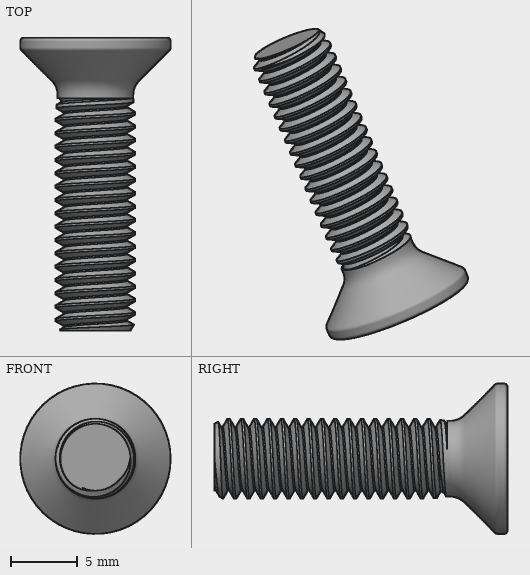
import cadquery as cq
import math


length = 22.0

head_radius = 5.65
head_edge_radius = 0.3
rim_bottom_depth = 0.75
cone_angle = math.radians(45)

neck_radius = 2.85
neck_fillet_radius = 1.5
neck_end_depth = 4.55

pitch = 1.0
major_radius = 3.0
core_radius = 2.39
flank_angle = math.radians(30)
crest_width = 0.17
crest_depth_at_plus_x = 4.68

runout_core_radius = 2.7
runout_core_end_depth = 5.1
runout_crest_end_depth = 5.7

tip_radius = 2.62
tip_chamfer_length = 0.65


def revolve_about_y(outline):
    """Close an outline drawn in the XY plane and turn it about the screw axis."""
    return outline.close().revolve(360, (0, 0, 0), (0, 1, 0))


def make_head():
    """Rounded rim, 45 degree cone and a fillet running into the neck."""
    sin_cone = math.sin(cone_angle)
    cos_cone = math.cos(cone_angle)
    sin_half = math.sin(cone_angle / 2)
    cos_half = math.cos(cone_angle / 2)
    quarter_middle = math.sin(math.radians(45))

    edge_center = head_radius - head_edge_radius
    cone_top_radius = edge_center + head_edge_radius * cos_cone
    cone_top_depth = rim_bottom_depth + head_edge_radius * sin_cone
    fillet_center = neck_radius + neck_fillet_radius
    cone_bottom_radius = fillet_center - neck_fillet_radius * cos_cone
    cone_bottom_depth = cone_top_depth + (cone_top_radius - cone_bottom_radius) / math.tan(cone_angle)
    fillet_end_depth = cone_bottom_depth + neck_fillet_radius * sin_cone

    outline = (
        cq.Workplane("XY")
        .lineTo(edge_center, 0)
        .threePointArc(
            (edge_center + head_edge_radius * quarter_middle, -head_edge_radius * (1 - quarter_middle)),
            (head_radius, -head_edge_radius),
        )
        .lineTo(head_radius, -rim_bottom_depth)
        .threePointArc(
            (edge_center + head_edge_radius * cos_half, -rim_bottom_depth - head_edge_radius * sin_half),
            (cone_top_radius, -cone_top_depth),
        )
        .lineTo(cone_bottom_radius, -cone_bottom_depth)
        .threePointArc(
            (
                fillet_center - neck_fillet_radius * cos_half,
                -fillet_end_depth + neck_fillet_radius * sin_half,
            ),
            (neck_radius, -fillet_end_depth),
        )
        .lineTo(neck_radius, -neck_end_depth)
        .lineTo(0, -neck_end_depth)
    )
    return revolve_about_y(outline)


def make_runout_cone():
    """Filling that makes the thread groove fade out towards the neck."""
    outline = (
        cq.Workplane("XY")
        .moveTo(0, -neck_end_depth)
        .lineTo(runout_core_radius, -neck_end_depth)
        .lineTo(core_radius, -runout_core_end_depth)
        .lineTo(0, -runout_core_end_depth)
    )
    return revolve_about_y(outline)


def make_shank_envelope():
    """Trims the thread: flat ends, a taper at the neck and a chamfer at the tip.

    Both cones run on past the thread crest, so only they and the flat ends cut the thread.
    """
    clearance = 0.1
    outer_radius = major_radius + clearance
    runout_slope = (runout_crest_end_depth - neck_end_depth) / (major_radius - neck_radius)
    tip_slope = tip_chamfer_length / (major_radius - tip_radius)
    outline = (
        cq.Workplane("XY")
        .moveTo(0, -neck_end_depth)
        .lineTo(neck_radius, -neck_end_depth)
        .lineTo(outer_radius, -neck_end_depth - (outer_radius - neck_radius) * runout_slope)
        .lineTo(outer_radius, -length + (outer_radius - tip_radius) * tip_slope)
        .lineTo(tip_radius, -length)
        .lineTo(0, -length)
    )
    return revolve_about_y(outline)


def make_threaded_rod():
    """Right-handed threaded rod, solid to its axis, that overruns both ends of the shank.

    Every turn has the same four helical bands: flank, crest, flank and root. The rod is
    closed at each end by a helical ramp and a flat face shaped like one pitch of the section.
    """
    half_crest = crest_width / 2
    half_base = half_crest + (major_radius - core_radius) * math.tan(flank_angle)
    section = [
        (core_radius, -half_base),
        (major_radius, -half_crest),
        (major_radius, half_crest),
        (core_radius, half_base),
        (core_radius, pitch - half_base),
    ]
    lead_in_turns = 2
    lead_out_turns = 1
    start_depth = crest_depth_at_plus_x - lead_in_turns * pitch
    turns = math.ceil((length - start_depth) / pitch) + lead_out_turns

    def helix(corner):
        radius, height = corner
        return cq.Wire.makeHelix(pitch, pitch, radius).translate(cq.Vector(0, 0, height)).Edges()[0]

    bands = [cq.Face.makeRuledSurface(helix(a), helix(b)) for a, b in zip(section, section[1:])]
    faces = [band.translate(cq.Vector(0, 0, turn * pitch)) for turn in range(turns) for band in bands]

    axis_edge = cq.Edge.makeLine(cq.Vector(0, 0, -half_base), cq.Vector(0, 0, pitch - half_base))
    ramp = cq.Face.makeRuledSurface(axis_edge, helix(section[0]))
    corners = [(0, -half_base)] + section + [(0, pitch - half_base)]
    points = [cq.Vector(radius, 0, height) for radius, height in corners]
    step = cq.Face.makeFromWires(cq.Wire.makePolygon(points, close=True))
    rod_climb = cq.Vector(0, 0, turns * pitch)
    faces += [ramp, step, ramp.translate(rod_climb), step.translate(rod_climb)]

    rod = cq.Workplane(obj=cq.Solid.makeSolid(cq.Shell.makeShell(faces)))
    return rod.rotate((0, 0, 0), (1, 0, 0), 90).translate((0, -start_depth, 0))


shank = make_threaded_rod().intersect(make_shank_envelope(), clean=False)
screw = make_head().union(make_runout_cone(), clean=False).union(shank, clean=False)
result = screw.solids()